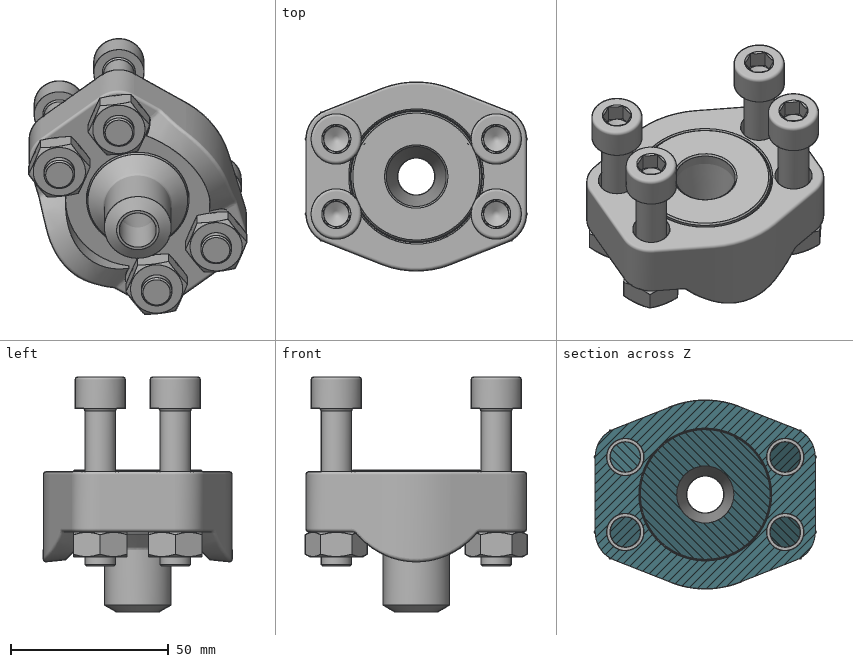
import cadquery as cq
import math


bolt_spacing_x = 50.7
bolt_spacing_y = 23.8

shank_diameter = 9.7
shank_length = 50.0
shank_end_chamfer = 0.5
neck_diameter = 10.5
neck_height = 0.75
head_diameter = 16.0
head_height = 10.0
head_fillet = 1.0
socket_across_flats = 8.0
socket_depth = 6.0
socket_turn = 38.5
socket_tip_angle = 120.0
socket_mouth_angle = 120.0

nut_across_flats = 17.1
nut_face_diameter = 16.55
nut_height = 8.0
nut_chamfer_angle = 30.0
thread_protrusion = 2.8

housing_width = 70.0
housing_nose_radius = 30.0
housing_height = 19.1
housing_fillet = 1.0
bolt_hole_diameter = 11.7
recess_diameter = 42.0
recess_depth = 8.95
recess_rim_chamfer = 0.45
hub_hole_diameter = 32.5
skirt_depth = 9.6
skirt_radius = 26.4
skirt_taper_angle = 6.2
skirt_root_fillet = 2.0
skirt_pocket_diameter = 45.8
nut_clearance_diameter = 19.9

spigot_rise = 0.5
flange_diameter = 41.3
flange_rim_chamfer = 0.5
hub_diameter = 31.6
hub_drop = 0.6
hub_taper_height = 4.8
hub_taper_fillet = 1.2
pipe_diameter = 21.2
pipe_drop = 25.45
weld_bevel_height = 2.25
weld_bevel_angle = 30.0
bore_diameter = 11.7
mouth_diameter = 19.0
mouth_depth = 4.25
mouth_chamfer = 0.5
bore_taper_height = 24.6

bolt_x = bolt_spacing_x / 2
bolt_y = bolt_spacing_y / 2
bolt_points = [(bolt_x, bolt_y), (-bolt_x, bolt_y), (-bolt_x, -bolt_y), (bolt_x, -bolt_y)]
corner_radius = housing_width / 2 - bolt_x
recess_floor_z = housing_height - recess_depth
spigot_top_z = housing_height + spigot_rise
shank_end_z = -nut_height - thread_protrusion
head_base_z = shank_end_z + shank_length
head_top_z = head_base_z + head_height
tolerance = 0.01


def across_corners(across_flats):
    return across_flats / math.cos(math.radians(30))


def disc(diameter, base_z, height):
    """Cylinder on the Z axis; a negative height runs downwards from base_z."""
    return cq.Workplane("XY").workplane(offset=base_z).circle(diameter / 2).extrude(height)


def cone(base_diameter, end_diameter, base_z, height, direction=1):
    """Cone on the Z axis from base_z, going up (direction 1) or down (direction -1)."""
    solid = cq.Solid.makeCone(
        base_diameter / 2,
        end_diameter / 2,
        height,
        cq.Vector(0, 0, base_z),
        cq.Vector(0, 0, direction),
    )
    return cq.Workplane(solid)


def pointed_cone(base_diameter, base_z, apex_angle):
    """Cone on the Z axis that points down to an apex."""
    height = base_diameter / 2 / math.tan(math.radians(apex_angle / 2))
    return cone(base_diameter, 0, base_z, height, -1)


def at_bolts(diameter, height):
    """Cylinders from Z = 0 on all the bolt axes."""
    return cq.Workplane("XY").pushPoints(bolt_points).circle(diameter / 2).extrude(height)


def housing_prism(height):
    """Prism with noses about the origin, corners about the bolts and tangent flats between them."""
    corner_distance = math.hypot(bolt_x, bolt_y)
    tangent_angle = math.atan2(bolt_y, bolt_x) + math.acos(
        (housing_nose_radius - corner_radius) / corner_distance
    )
    nose_middle_angle = (tangent_angle + math.pi / 2) / 2

    def on_corner(angle):
        return (bolt_x + corner_radius * math.cos(angle), bolt_y + corner_radius * math.sin(angle))

    def on_nose(angle):
        return (housing_nose_radius * math.cos(angle), housing_nose_radius * math.sin(angle))

    outline = (
        cq.Workplane("XY")
        .moveTo(housing_width / 2, 0)
        .lineTo(*on_corner(0))
        .threePointArc(on_corner(tangent_angle / 2), on_corner(tangent_angle))
        .lineTo(*on_nose(tangent_angle))
        .threePointArc(on_nose(nose_middle_angle), on_nose(math.pi / 2))
        .mirrorY()
        .mirrorX()
    )
    return outline.extrude(height).clean()


def skirt_cone(side_y):
    """Cone along Y, widening outwards, whose lowest part forms the skirt on one side."""
    inner_radius = skirt_radius - housing_nose_radius * math.tan(math.radians(skirt_taper_angle))
    solid = cq.Solid.makeCone(
        inner_radius,
        skirt_radius,
        housing_nose_radius,
        cq.Vector(0, 0, skirt_radius - skirt_depth),
        cq.Vector(0, side_y, 0),
    )
    return cq.Workplane(solid)


def skirt_root_edges(body):
    """Edges where the skirts meet the flat underside."""
    reach_y = housing_nose_radius / 2
    box = cq.selectors.BoxSelector(
        (-bolt_x, -reach_y, -tolerance),
        (bolt_x, reach_y, tolerance),
    )
    return body.edges(box)


def lower_rim_edges(body):
    """Lower edges of all the upright walls."""
    walls = [face for face in body.faces().vals() if abs(face.normalAt().z) < tolerance]
    wall_edges = body.newObject(walls).edges("not |Z").vals()
    return body.newObject([edge for edge in wall_edges if edge.Center().z < tolerance])


def make_housing():
    skirts = skirt_cone(1).union(skirt_cone(-1)).intersect(housing_prism(-skirt_depth))
    body = housing_prism(housing_height).union(skirts)
    body = body.faces(">Z").edges().fillet(housing_fillet)
    body = skirt_root_edges(body).fillet(skirt_root_fillet)
    body = lower_rim_edges(body).fillet(housing_fillet)

    body = body.cut(disc(skirt_pocket_diameter, 0, -skirt_depth))
    body = body.cut(at_bolts(nut_clearance_diameter, -skirt_depth))

    rim_base_z = housing_height - recess_rim_chamfer
    rim_diameter = recess_diameter + 2 * recess_rim_chamfer
    body = body.cut(disc(hub_hole_diameter, 0, housing_height))
    body = body.cut(disc(recess_diameter, recess_floor_z, recess_depth))
    body = body.cut(cone(recess_diameter, rim_diameter, rim_base_z, recess_rim_chamfer))

    return body.cut(at_bolts(bolt_hole_diameter, housing_height))


def make_spigot():
    """Turned spigot: flange in the recess, hub in the hole, pipe below with a weld bevel."""
    flange_radius = flange_diameter / 2
    hub_radius = hub_diameter / 2
    pipe_radius = pipe_diameter / 2
    bore_radius = bore_diameter / 2
    mouth_radius = mouth_diameter / 2
    bevel_width = weld_bevel_height / math.tan(math.radians(weld_bevel_angle))
    taper_end_z = -hub_drop - hub_taper_height
    mouth_floor_z = spigot_top_z - mouth_depth
    spigot = (
        cq.Workplane("XZ")
        .moveTo(bore_radius, -pipe_drop)
        .lineTo(pipe_radius - bevel_width, -pipe_drop)
        .lineTo(pipe_radius, -pipe_drop + weld_bevel_height)
        .lineTo(pipe_radius, taper_end_z)
        .lineTo(hub_radius, -hub_drop)
        .lineTo(hub_radius, recess_floor_z)
        .lineTo(flange_radius, recess_floor_z)
        .lineTo(flange_radius, spigot_top_z - flange_rim_chamfer)
        .lineTo(flange_radius - flange_rim_chamfer, spigot_top_z)
        .lineTo(mouth_radius + mouth_chamfer, spigot_top_z)
        .lineTo(mouth_radius, spigot_top_z - mouth_chamfer)
        .lineTo(mouth_radius, mouth_floor_z)
        .lineTo(bore_radius, mouth_floor_z - bore_taper_height)
        .close()
        .revolve(360, (0, 0, 0), (0, 1, 0))
    )
    taper_foot = cq.selectors.BoxSelector(
        (-pipe_radius, -pipe_radius, taper_end_z - tolerance),
        (pipe_radius, pipe_radius, taper_end_z + tolerance),
    )
    return spigot.edges(taper_foot).fillet(hub_taper_fillet)


def make_socket_cutter():
    """Hexagon socket with a conical floor and a countersunk mouth."""
    corners = across_corners(socket_across_flats)
    hexagon = (
        cq.Workplane("XY")
        .workplane(offset=head_top_z)
        .transformed(rotate=(0, 0, socket_turn))
        .polygon(6, corners)
        .extrude(-socket_depth)
    )
    tip = pointed_cone(socket_across_flats, head_top_z - socket_depth, socket_tip_angle)
    mouth = pointed_cone(corners, head_top_z, socket_mouth_angle)
    return hexagon.union(tip).union(mouth)


def make_screw():
    """Socket-head screw on the Z axis, at its assembled height."""
    shank = disc(shank_diameter, shank_end_z, shank_length).faces("<Z").chamfer(shank_end_chamfer)
    neck = cone(shank_diameter, neck_diameter, head_base_z - neck_height, neck_height)
    head = disc(head_diameter, head_base_z, head_height).faces(">Z").edges().fillet(head_fillet)
    return shank.union(neck).union(head).cut(make_socket_cutter())


def make_nut():
    """Hexagon nut on the Z axis below Z = 0, with corners chamfered at both ends."""
    corners = across_corners(nut_across_flats)
    corner_drop = (corners - nut_face_diameter) / 2 * math.tan(math.radians(nut_chamfer_angle))
    chamfered_blank = (
        cq.Workplane("XZ")
        .lineTo(nut_face_diameter / 2, 0)
        .lineTo(corners / 2, -corner_drop)
        .lineTo(corners / 2, corner_drop - nut_height)
        .lineTo(nut_face_diameter / 2, -nut_height)
        .lineTo(0, -nut_height)
        .close()
        .revolve(360, (0, 0, 0), (0, 1, 0))
    )
    hexagon = cq.Workplane("XY").polygon(6, corners).extrude(-nut_height)
    return hexagon.intersect(chamfered_blank).cut(disc(shank_diameter, 0, -nut_height))


housing = make_housing()
spigot = make_spigot()
screws = [make_screw().translate((x, y, 0)).val() for x, y in bolt_points]
nuts = [make_nut().translate((x, y, 0)).val() for x, y in bolt_points]

result = cq.Compound.makeCompound([housing.val(), spigot.val(), *screws, *nuts])